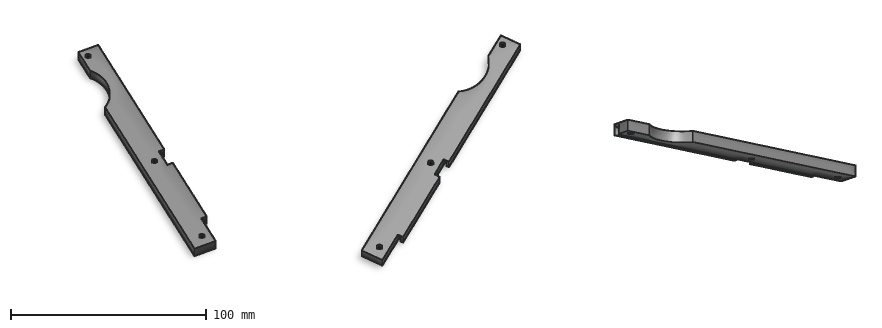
import cadquery as cq
import math

length = 145
width = 15.1
thickness = 6.0

left_edge_y = 3.8
cutout_radius = 17.1
cutout_x = 25.0
cutout_top_y = 7.8

recess_depth = 3.0
notch_start = 78.0
notch_end = 88.0
end_step_start = 128.0

hole_diameter = 2.9
hole_y = 7.1
hole_positions = (4.5, 83.0, 138.9)

groove_width = 1.5
groove_y = width - recess_depth + groove_width / 2
groove_height = 3.9
mouth_radius = 1.2


def bar_outline():
    """Extrude the outline of the bar, including the arc and rear recesses."""
    cutout_y = cutout_top_y - cutout_radius
    arc_left = cutout_x - math.sqrt(cutout_radius**2 - (left_edge_y - cutout_y) ** 2)
    arc_right = cutout_x + math.sqrt(cutout_radius**2 - cutout_y**2)
    recess_y = width - recess_depth
    return (
        cq.Workplane("XY")
        .moveTo(0, left_edge_y)
        .lineTo(arc_left, left_edge_y)
        .threePointArc((cutout_x, cutout_top_y), (arc_right, 0))
        .lineTo(length, 0)
        .lineTo(length, recess_y)
        .lineTo(end_step_start, recess_y)
        .lineTo(end_step_start, width)
        .lineTo(notch_end, width)
        .lineTo(notch_end, recess_y)
        .lineTo(notch_start, recess_y)
        .lineTo(notch_start, width)
        .lineTo(0, width)
        .close()
        .extrude(thickness)
    )


def groove():
    """Underside groove running from the left end to the rear step."""
    return cq.Workplane("XY").box(
        end_step_start, groove_width, groove_height, centered=(False, True, False)
    ).translate((0, groove_y, 0))


def holes():
    """Vertical through holes along the bar."""
    return (
        cq.Workplane("XY")
        .pushPoints([(x, hole_y) for x in hole_positions])
        .circle(hole_diameter / 2)
        .extrude(thickness)
    )


def round_left_mouth(body):
    """Round the sides and ceiling where the groove opens at the left end."""
    tolerance = 0.01
    mouth_box = cq.selectors.BoxSelector(
        (-tolerance, groove_y - groove_width / 2 - tolerance, tolerance),
        (tolerance, groove_y + groove_width / 2 + tolerance, groove_height + tolerance),
    )
    return body.edges(mouth_box).fillet(mouth_radius)


result = round_left_mouth(bar_outline().cut(groove())).cut(holes())